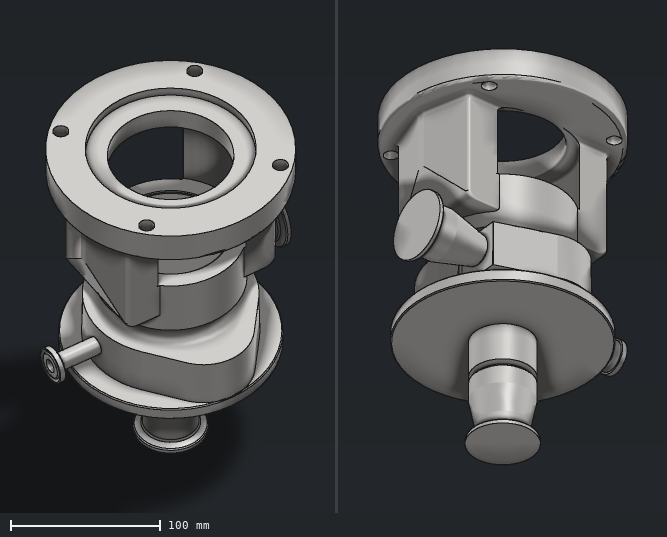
import cadquery as cq
import math

top_z = 261.5
flange_thickness = 24.0
hub_top_z = 182.5
hub_bottom_z = 141.0
body_top_z = 125.5
plate_top_z = 90.5
plate_bottom_z = 81.2
port_z = 108.0

flange_radius = 83.5
flange_edge_fillet = 3.3
spigot_radius = 57.0
spigot_depth = 6.5
flange_bore_radius = 42.2
bolt_circle_radius = 75.0
bolt_hole_diameter = 10.5
bolt_count = 4

leg_half_width = 38.7
leg_inner_radius = 52.0
leg_crest_y = 69.1
leg_crest_half_width = 3.05
leg_slope = math.radians(16)
leg_taper_top_z = 192.5
leg_bottom_z = 152.8
leg_toe_radius = 10.0
leg_edge_fillet = 3.0
leg_root_fillet = 5.0
box_margin = 0.1

hub_radius = 51.0
hub_recess_radius = 39.0
hub_recess_depth = 2.0
hub_recess_chamfer = 0.7
neck_radius = 44.0
neck_fillet = 10.0

body_radius = 59.0
body_lobe_radius = 34.0
body_lobe_offset = 40.5
body_draft = 1.0
outlet_wall_y = 54.0
outlet_wall_start_x = -58.5
outlet_wall_end_x = -25.0
outlet_step = 3.0
plate_radius = 75.0
plate_chamfer = 0.8

pipe_embed = 5.0

pipe_radius = 19.0
ferrule_radius = 25.25
ferrule_thickness = 2.8
ferrule_shoulder_radius = 24.4
ferrule_shoulder_length = 3.7
ferrule_neck_radius = 20.0
ferrule_neck_length = 5.2
ferrule_length = 6.7
suction_radius = 23.0
suction_cone_start = 14.0
suction_cone_end = 34.0
groove_bottom_z = 48.0
groove_top_z = 53.0
groove_depth = 3.0
groove_floor_width = 1.0
outlet_x = -44.5
outlet_face_y = 108.0
outlet_cone_start = 20.2
outlet_tip_y = 58.5
outlet_tip_radius = 11.6
outlet_tip_round = 3.5

nozzle_face_y = -95.5
nozzle_radius = 6.35
nozzle_bore_radius = 4.8
nozzle_ferrule_radius = 13.0
nozzle_ferrule_thickness = 4.0
nozzle_neck_length = 5.8
nozzle_flare_length = 6.5
nozzle_neck_radius = 8.7
nozzle_shoulder_radius = 11.5
gasket_inner_radius = 8.9
gasket_bottom_radius = 9.8
gasket_outer_radius = 11.8
gasket_depth = 1.0

flange_bottom_z = top_z - flange_thickness


def cylinder(radius, bottom_z, height):
    return cq.Workplane("XY").workplane(offset=bottom_z).circle(radius).extrude(height)


def make_flange():
    flange = cylinder(flange_radius, flange_bottom_z, flange_thickness)
    flange = flange.cut(cylinder(flange_bore_radius, flange_bottom_z, flange_thickness))
    flange = flange.faces("<Z").edges().fillet(flange_edge_fillet)
    return flange.cut(cylinder(spigot_radius, top_z - spigot_depth, spigot_depth))


def make_leg():
    """Leg on the +Y side: a roof-shaped column whose lower end slopes in to the hub."""
    shoulder_y = leg_crest_y - (leg_half_width - leg_crest_half_width) * math.tan(leg_slope)
    column = (
        cq.Workplane("XY")
        .workplane(offset=leg_bottom_z)
        .polyline([
            (-leg_half_width, 0),
            (-leg_half_width, shoulder_y),
            (-leg_crest_half_width, leg_crest_y),
            (leg_crest_half_width, leg_crest_y),
            (leg_half_width, shoulder_y),
            (leg_half_width, 0),
        ])
        .close()
        .extrude(flange_bottom_z - leg_bottom_z)
    )
    toe_y = leg_crest_y - (leg_taper_top_z - leg_bottom_z) * math.tan(leg_slope)
    side_profile = (
        cq.Workplane("YZ")
        .polyline([
            (0, leg_bottom_z),
            (toe_y, leg_bottom_z),
            (leg_crest_y, leg_taper_top_z),
            (leg_crest_y, flange_bottom_z),
            (0, flange_bottom_z),
        ])
        .close()
        .extrude(leg_half_width, both=True)
    )
    toe_edge = cq.selectors.NearestToPointSelector((0, toe_y, leg_bottom_z))
    side_profile = side_profile.edges(toe_edge).fillet(leg_toe_radius)
    leg = column.intersect(side_profile)
    leg = leg.faces("<X or >X").edges("not(<Y or >Z)").fillet(leg_edge_fillet)
    leg = leg.cut(cylinder(leg_inner_radius, hub_top_z, flange_bottom_z - hub_top_z))
    return leg.cut(cylinder(neck_radius, leg_bottom_z, hub_top_z - leg_bottom_z))


def make_lantern():
    leg = make_leg()
    lantern = make_flange().union(leg).union(leg.mirror("XZ"))
    for side in (-1, 1):
        root_box = cq.selectors.BoxSelector(
            (-flange_radius, side * flange_edge_fillet, flange_bottom_z - box_margin),
            (flange_radius, side * flange_radius, flange_bottom_z + box_margin),
        )
        lantern = lantern.edges(root_box).fillet(leg_root_fillet)
    holes = (
        cq.Workplane("XY")
        .workplane(offset=flange_bottom_z)
        .polarArray(bolt_circle_radius, 180 / bolt_count, 360, bolt_count)
        .circle(bolt_hole_diameter / 2)
        .extrude(flange_thickness)
    )
    return lantern.cut(holes)


def make_hub():
    hub = cylinder(hub_radius, hub_bottom_z, hub_top_z - hub_bottom_z)
    hub = hub.cut(cylinder(hub_recess_radius, hub_top_z - hub_recess_depth, hub_recess_depth))
    recess_rim = cq.selectors.RadiusNthSelector(0)
    return hub.faces(">Z").edges(recess_rim).chamfer(hub_recess_chamfer)


def make_neck():
    foot_radius = neck_radius + neck_fillet
    arc_middle = neck_fillet * (1 - math.sqrt(0.5))
    return (
        cq.Workplane("XZ")
        .moveTo(0, body_top_z)
        .lineTo(foot_radius, body_top_z)
        .threePointArc(
            (neck_radius + arc_middle, body_top_z + arc_middle),
            (neck_radius, body_top_z + neck_fillet),
        )
        .lineTo(neck_radius, hub_bottom_z)
        .lineTo(0, hub_bottom_z)
        .close()
        .revolve(360, (0, 0, 0), (0, 1, 0))
    )


def make_body():
    """Drafted casing: a round body with a lobe on each side and a flat outlet wall."""
    def on_body(angle):
        return body_radius * math.cos(angle), body_radius * math.sin(angle)

    def on_lobe(side, angle):
        x = body_lobe_offset + body_lobe_radius * math.cos(angle)
        return side * x, body_lobe_radius * math.sin(angle)

    tangent = math.acos((body_radius - body_lobe_radius) / body_lobe_offset)
    corner_dx = -outlet_wall_start_x - body_lobe_offset
    flank = math.atan2(outlet_wall_y, corner_dx) - math.acos(
        body_lobe_radius / math.hypot(corner_dx, outlet_wall_y)
    )
    step_y = outlet_wall_y + outlet_step
    crown = math.atan2(step_y, outlet_wall_end_x) - math.acos(
        body_radius / math.hypot(outlet_wall_end_x, step_y)
    )
    outline = (
        cq.Workplane("XY")
        .workplane(offset=body_top_z)
        .moveTo(*on_body(crown))
        .lineTo(outlet_wall_end_x, step_y)
        .lineTo(outlet_wall_end_x, outlet_wall_y)
        .lineTo(outlet_wall_start_x, outlet_wall_y)
        .lineTo(*on_lobe(-1, flank))
        .threePointArc(on_lobe(-1, (flank - tangent) / 2), on_lobe(-1, -tangent))
        .lineTo(*on_body(math.pi + tangent))
        .threePointArc((0, -body_radius), on_body(-tangent))
        .lineTo(*on_lobe(1, -tangent))
        .threePointArc(on_lobe(1, 0), on_lobe(1, tangent))
        .lineTo(*on_body(tangent))
        .threePointArc(on_body((tangent + crown) / 2), on_body(crown))
        .close()
    )
    return outline.extrude(plate_top_z - body_top_z, taper=-body_draft)


def make_plate():
    plate = cylinder(plate_radius, plate_bottom_z, plate_top_z - plate_bottom_z)
    return plate.edges().chamfer(plate_chamfer)


def ferrule_outline():
    """Clamp ferrule as (radius, distance from its face), ending on the pipe."""
    return [
        (0, 0),
        (ferrule_radius, 0),
        (ferrule_radius, ferrule_thickness),
        (ferrule_shoulder_radius, ferrule_shoulder_length),
        (ferrule_neck_radius, ferrule_neck_length),
        (pipe_radius, ferrule_length),
    ]


def make_suction():
    floor_radius = suction_radius - groove_depth
    floor_z = (groove_bottom_z + groove_top_z - groove_floor_width) / 2
    outline = ferrule_outline() + [
        (pipe_radius, suction_cone_start),
        (suction_radius, suction_cone_end),
        (suction_radius, groove_bottom_z),
        (floor_radius, floor_z),
        (floor_radius, floor_z + groove_floor_width),
        (suction_radius, groove_top_z),
        (suction_radius, plate_bottom_z),
        (0, plate_bottom_z),
    ]
    return cq.Workplane("XZ").polyline(outline).close().revolve(360, (0, 0, 0), (0, 1, 0))


def make_outlet():
    """Conical outlet pipe with a rounded tip, pointing along +Y."""
    tip = outlet_face_y - outlet_tip_y
    round_middle = outlet_tip_round * math.sqrt(0.5)
    end_radius = outlet_tip_radius - outlet_tip_round
    end = tip + outlet_tip_round + pipe_embed
    pipe = (
        cq.Workplane("XY")
        .polyline(ferrule_outline())
        .lineTo(pipe_radius, outlet_cone_start)
        .lineTo(outlet_tip_radius, tip)
        .threePointArc(
            (end_radius + round_middle, tip + round_middle),
            (end_radius, tip + outlet_tip_round),
        )
        .lineTo(end_radius, end)
        .lineTo(0, end)
        .close()
        .revolve(360, (0, 0, 0), (0, 1, 0))
    )
    return pipe.mirror("XZ").translate((outlet_x, outlet_face_y, port_z))


def make_nozzle():
    """Drain nozzle with a bored tube and a gasket groove in its clamp face, along -Y."""
    length = -nozzle_face_y - body_radius
    end = length + pipe_embed
    outline = [
        (nozzle_bore_radius, 0),
        (gasket_inner_radius, 0),
        (gasket_bottom_radius, gasket_depth),
        (gasket_outer_radius, 0),
        (nozzle_ferrule_radius, 0),
        (nozzle_ferrule_radius, nozzle_ferrule_thickness),
        (nozzle_shoulder_radius, nozzle_ferrule_thickness),
        (nozzle_neck_radius, nozzle_neck_length),
        (nozzle_radius, nozzle_flare_length),
        (nozzle_radius, end),
        (0, end),
        (0, length),
        (nozzle_bore_radius, length),
    ]
    nozzle = cq.Workplane("XY").polyline(outline).close().revolve(360, (0, 0, 0), (0, 1, 0))
    return nozzle.translate((0, nozzle_face_y, port_z))


result = (
    make_lantern()
    .union(make_hub())
    .union(make_neck())
    .union(make_body())
    .union(make_plate())
    .union(make_suction())
    .union(make_outlet())
    .union(make_nozzle())
)